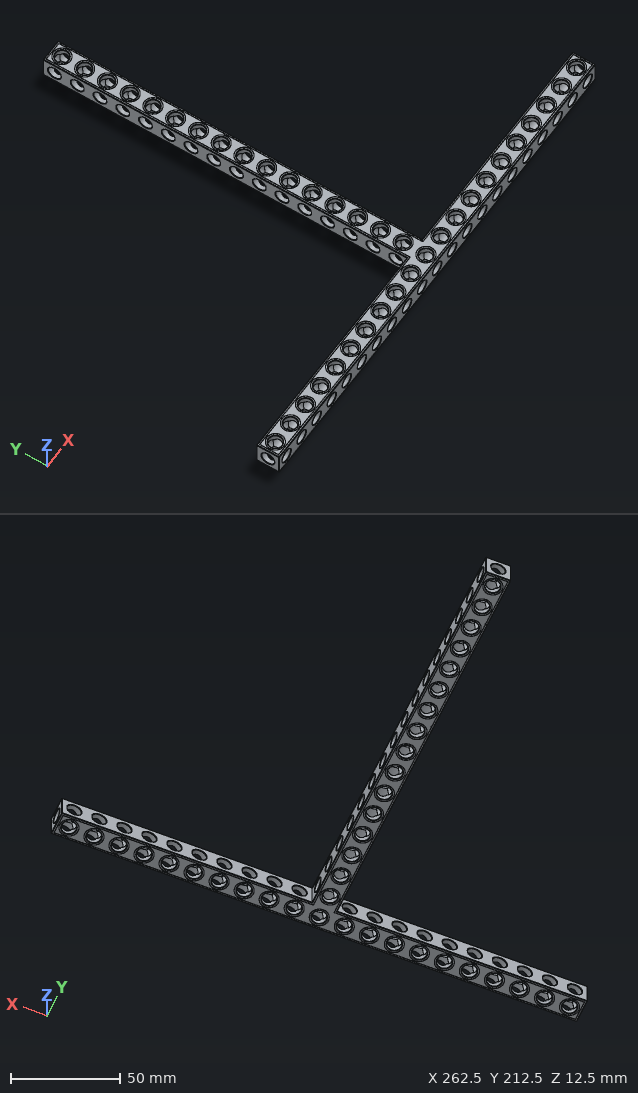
import cadquery as cq
bar_length = 262.5
bar_holes = 21
stem_holes = 16
hole_diameter = 7.0
edge_chamfer = 0.3
panel_height = 0.13
panel_margin = 1.0
panel_opening = 9.2

pitch = bar_length / bar_holes
half_bar = bar_length / 2
half_width = pitch / 2
half_height = pitch / 2
half_body = half_height - panel_height
stem_length = stem_holes * pitch
stem_end = half_width + stem_length

bar_x = [(i - (bar_holes - 1) / 2) * pitch for i in range(bar_holes)]
stem_y = [(i + 1) * pitch for i in range(stem_holes)]
cell_centers = [(x, 0) for x in bar_x] + [(0, y) for y in stem_y]


def tee_prism(half_thickness, inset):
    """T-shaped plate centred on Z = 0, its outline drawn in by the inset."""
    width = half_width - inset
    length = half_bar - inset
    end = stem_end - inset
    outline = [
        (-length, -width), (length, -width), (length, width), (width, width),
        (width, end), (-width, end), (-width, width), (-length, width),
    ]
    return (
        cq.Workplane("XY", origin=(0, 0, -half_thickness))
        .polyline(outline).close().extrude(2 * half_thickness)
    )


def is_outer_corner(edge):
    """True for every vertical edge except the two inner corners of the T."""
    center = edge.Center()
    at_inner_x = abs(abs(center.x) - half_width) < edge_chamfer
    at_inner_y = abs(center.y - half_width) < edge_chamfer
    return not (at_inner_x and at_inner_y)


def chamfered_body():
    """T-shaped beam with all its outer edges broken."""
    body = tee_prism(half_body, 0)
    corners = [edge for edge in body.edges("|Z").vals() if is_outer_corner(edge)]
    rims = body.faces(">Z or <Z").edges().vals()
    return body.newObject(corners + rims).chamfer(edge_chamfer)


def raised_panels():
    """Inset panel layer reaching both outer faces, open around each vertical hole."""
    openings = (
        cq.Workplane("XY", origin=(0, 0, -half_height))
        .pushPoints(cell_centers).circle(panel_opening / 2).extrude(2 * half_height)
    )
    return tee_prism(half_height, panel_margin).cut(openings)


def drill(start, end):
    """Cutter for a straight through hole with both mouths chamfered."""
    start = cq.Vector(*start)
    axis = cq.Vector(*end) - start
    length = axis.Length
    radius = hole_diameter / 2
    mouth = radius + edge_chamfer
    profile = [
        (0, 0), (mouth, 0), (radius, edge_chamfer),
        (radius, length - edge_chamfer), (mouth, length), (0, length),
    ]
    across = cq.Vector(0, 1, 0) if abs(axis.y) < length / 2 else cq.Vector(0, 0, 1)
    plane = cq.Plane(origin=start, xDir=across, normal=across.cross(axis))
    return cq.Workplane(plane).polyline(profile).close().revolve(360, (0, 0), (0, 1)).val()


def all_drills():
    """Holes along Z in every cell, across both beams, and lengthwise through each beam."""
    vertical = [drill((x, y, -half_body), (x, y, half_body)) for x, y in cell_centers]
    across_bar = [drill((x, -half_width, 0), (x, half_width, 0)) for x in bar_x if abs(x) > half_width]
    across_stem = [drill((-half_width, y, 0), (half_width, y, 0)) for y in stem_y]
    along_bar = drill((-half_bar, 0, 0), (half_bar, 0, 0))
    along_stem = drill((0, -half_width, 0), (0, stem_end, 0))
    return vertical + across_bar + across_stem + [along_bar, along_stem]


blank = chamfered_body().union(raised_panels())
result = cq.Workplane(blank.val().cut(*all_drills())).solids()